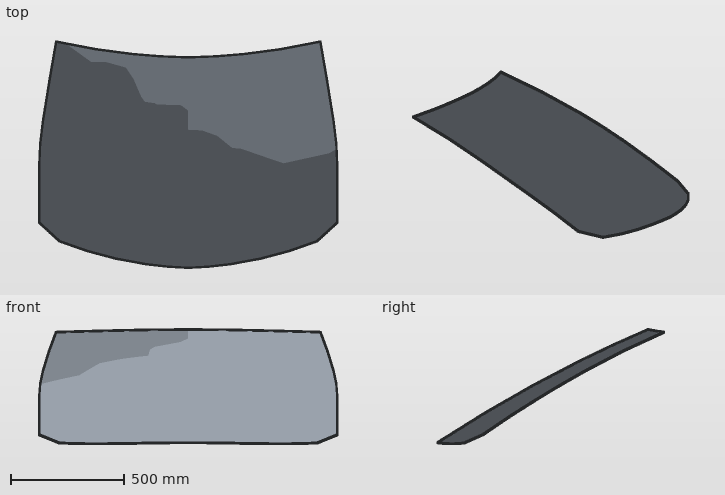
import cadquery as cq

half_width = 658.0
length = 999.0
rear_centre_y = 930.0
nose_mid = (283.0, 33.0)
nose_corner = (567.0, 117.0)
side_start_y = 200.0
side_bend_y = 448.0
side_mid = (629.0, 725.0)
rear_corner = (583.0, length)
rear_mid = (291.0, 949.0)
side_bend_direction = (0, 1)
side_rear_direction = (-0.18, 1)

thickness = 4.0
nose_slope = 0.65
ridge_curvature = 0.0001215
rear_side_drop = 50.0
extra_nose_drop = 62.0
crown_power = 1.75

margin = 26.0
cross_steps = 12
long_steps = 16


def skin_height(x, y):
    """Height of the upper surface, with the nose point at zero."""
    ridge = nose_slope * y - ridge_curvature * y**2
    side_drop = rear_side_drop + extra_nose_drop * (1 - y / length) ** 2
    return ridge - side_drop * (x / half_width) ** crown_power


def half_skin():
    """Sheet on the +X side of the ridge, thickened downward."""
    x_step = (half_width + margin) / cross_steps
    y_step = (length + 2 * margin) / long_steps
    grid = []
    for i in range(cross_steps + 1):
        x = i * x_step
        row = []
        for j in range(long_steps + 1):
            y = j * y_step - margin
            row.append(cq.Vector(x, y, skin_height(x, y)))
        grid.append(row)
    upper_face = cq.Face.makeSplineApprox(grid, tol=0.01)
    return cq.Workplane(cq.Solid.extrudeLinear(upper_face, cq.Vector(0, 0, -thickness)))


def half_outline():
    """Vertical prism over the +X half of the plan outline."""
    return (
        cq.Workplane("XY", origin=(0, 0, -length))
        .moveTo(0, 0)
        .threePointArc(nose_mid, nose_corner)
        .lineTo(half_width, side_start_y)
        .lineTo(half_width, side_bend_y)
        .spline(
            [side_mid, rear_corner],
            tangents=[side_bend_direction, side_rear_direction],
            includeCurrent=True,
        )
        .threePointArc(rear_mid, (0, rear_centre_y))
        .close()
        .extrude(2 * length)
    )


half_panel = half_skin().intersect(half_outline())
result = half_panel.union(half_panel.mirror("YZ"))